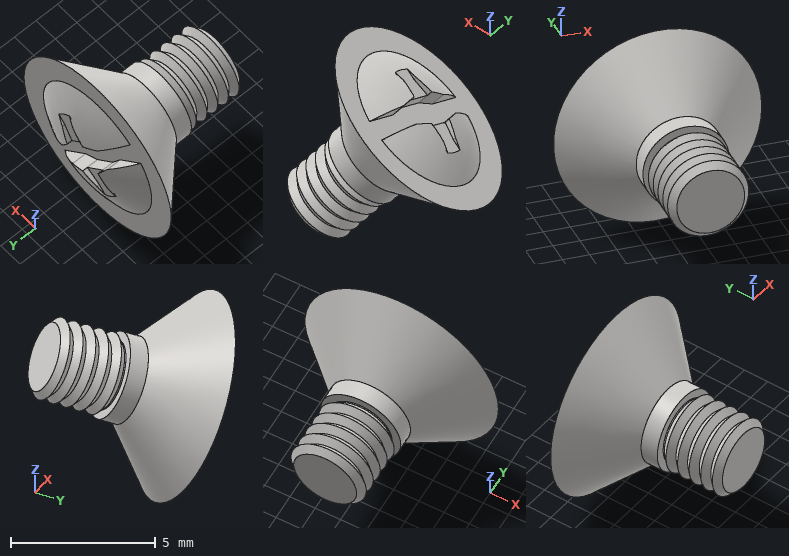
import cadquery as cq
import math


head_radius = 3.835
collar_radius = 1.59
collar_length = 0.7
cone_length = head_radius - collar_radius
dome_radius = 2.815
dome_height = 0.75

crest_radius = 1.495
pitch = 0.5
thread_count = 5
root_radius = crest_radius - pitch / 2
relief_length = 0.05

slot_angle = 45.0
slot_half_width = 0.39
slot_center_half_width = 0.57
taper_end = 1.27
deep_floor = 0.0
shallow_floor = 0.475


def body_profile():
    """Half section in XY, revolved about the Y axis."""
    sphere_radius = (dome_radius**2 + dome_height**2) / (2 * dome_height)
    mid_x = dome_radius / 2
    mid_y = dome_height - sphere_radius + math.sqrt(sphere_radius**2 - mid_x**2)
    collar_end = -cone_length - collar_length
    profile = (
        cq.Workplane("XY")
        .moveTo(0, dome_height)
        .threePointArc((mid_x, mid_y), (dome_radius, 0))
        .lineTo(head_radius, 0)
        .lineTo(collar_radius, -cone_length)
        .lineTo(collar_radius, collar_end)
        .lineTo(root_radius, collar_end)
    )
    thread_start = collar_end - relief_length
    profile = profile.lineTo(root_radius, thread_start)
    for i in range(thread_count):
        ring_start = thread_start - i * pitch
        profile = profile.lineTo(crest_radius, ring_start - pitch / 2)
        profile = profile.lineTo(root_radius, ring_start - pitch)
    tip = thread_start - thread_count * pitch
    return profile.lineTo(0, tip).close()


def slot_cutter(angle, floor):
    """Through slot across the dome, open upward from the given floor height."""
    center = slot_center_half_width
    outline = [
        (-head_radius, slot_half_width),
        (-taper_end, slot_half_width),
        (-center, center),
        (center, center),
        (taper_end, slot_half_width),
        (head_radius, slot_half_width),
    ]
    mirrored = [(x, -z) for x, z in reversed(outline)]
    return (
        cq.Workplane("XZ", origin=(0, floor, 0))
        .polyline(outline + mirrored)
        .close()
        .extrude(-dome_height)
        .rotate((0, 0, 0), (0, 1, 0), angle)
    )


screw = body_profile().revolve(360, (0, 0, 0), (0, 1, 0))
deep_slot = slot_cutter(slot_angle, deep_floor)
shallow_slot = slot_cutter(slot_angle + 90, shallow_floor)
result = screw.cut(deep_slot).cut(shallow_slot)